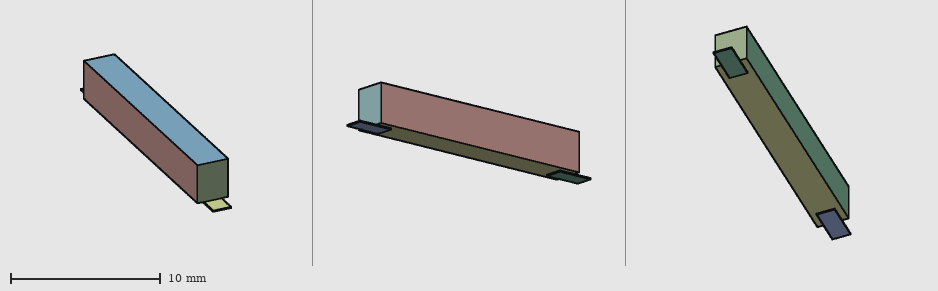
import cadquery as cq

OVERALL_LENGTH = 20.37
OVERALL_HEIGHT = 2.94

HOUSING_LENGTH = 17.52
HOUSING_WIDTH = 2.28

LEAD_LENGTH = 2.72
LEAD_WIDTH = 1.32
LEAD_THICKNESS = 0.1

HOUSING_HEIGHT = OVERALL_HEIGHT - LEAD_THICKNESS
LEAD_CENTER_X = (OVERALL_LENGTH - LEAD_LENGTH) / 2

ON_PLANE = (True, True, False)


def make_housing():
    """Plain block standing on top of the leads."""
    return cq.Workplane("XY", origin=(0, 0, LEAD_THICKNESS)).box(
        HOUSING_LENGTH, HOUSING_WIDTH, HOUSING_HEIGHT, centered=ON_PLANE
    )


def make_lead(side):
    """Flat lead at one end; side is -1 for the -X end and 1 for the +X end."""
    return cq.Workplane("XY", origin=(side * LEAD_CENTER_X, 0, 0)).box(
        LEAD_LENGTH, LEAD_WIDTH, LEAD_THICKNESS, centered=ON_PLANE
    )


housing = make_housing()
leads = [make_lead(side) for side in (-1, 1)]

result = cq.Compound.makeCompound([housing.val(), *[lead.val() for lead in leads]])